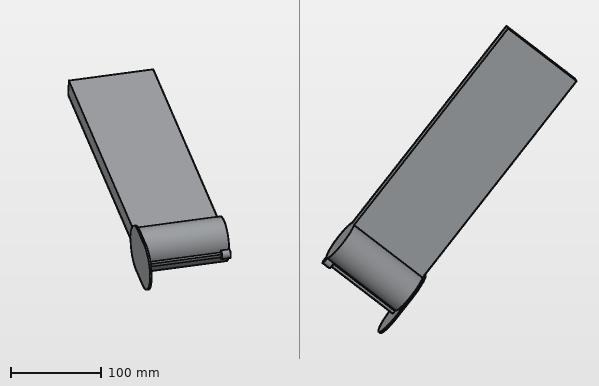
import cadquery as cq

TILT = 8.7

WIDTH = 97.0
BOARD_THICKNESS = 20.0
BOARD_REACH = 300.3
BARREL_RADIUS = 25.0

PLATE_THICKNESS = 2.0
PLATE_END_RADIUS = 27.5
PIN_SPACING = 27.5

LUG_DIAMETER = 10.0
LUG_LENGTH = 10.0

PIN_SIDE = 4.0
PIN_LENGTH = WIDTH - LUG_LENGTH


def section_plane(y):
    """Plane square to the hinge axis at y; extruding positively goes toward +Y."""
    return cq.Workplane("XZ", origin=(0, y, 0)).transformed(rotate=(180, 0, 0))


def tilted(body):
    return body.rotate((0, 0, 0), (0, 1, 0), TILT)


def make_flap():
    board = section_plane(0).center(-BOARD_REACH / 2, 0).rect(BOARD_REACH, BOARD_THICKNESS).extrude(WIDTH)
    barrel = section_plane(0).circle(BARREL_RADIUS).extrude(WIDTH)
    lug = section_plane(PIN_LENGTH).center(PIN_SPACING, 0).circle(LUG_DIAMETER / 2).extrude(LUG_LENGTH)
    return tilted(board.union(barrel).union(lug))


def make_link_plate():
    slot_length = PIN_SPACING + 2 * PLATE_END_RADIUS
    plate = (
        section_plane(-PLATE_THICKNESS)
        .center(PIN_SPACING / 2, 0)
        .slot2D(slot_length, 2 * PLATE_END_RADIUS)
        .extrude(PLATE_THICKNESS)
    )
    return tilted(plate)


def make_pin():
    pin = section_plane(0).center(PIN_SPACING, 0).rect(PIN_SIDE, PIN_SIDE).extrude(PIN_LENGTH)
    return tilted(pin)


flap = make_flap()
link_plate = make_link_plate()
pin = make_pin()

result = cq.Compound.makeCompound([flap.val(), link_plate.val(), pin.val()])